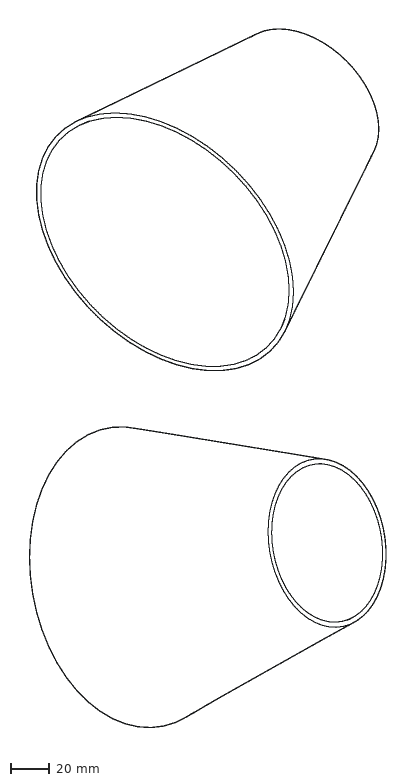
import cadquery as cq

length = 140.0
wide_diameter = 159.0
narrow_diameter = 89.0
wall = 2.7

wide_radius = wide_diameter / 2
narrow_radius = narrow_diameter / 2

wall_section = (
    cq.Workplane("XY")
    .moveTo(wide_radius - wall, 0)
    .lineTo(wide_radius, 0)
    .lineTo(narrow_radius, length)
    .lineTo(narrow_radius - wall, length)
    .close()
)

result = wall_section.revolve(360, (0, 0, 0), (0, 1, 0))